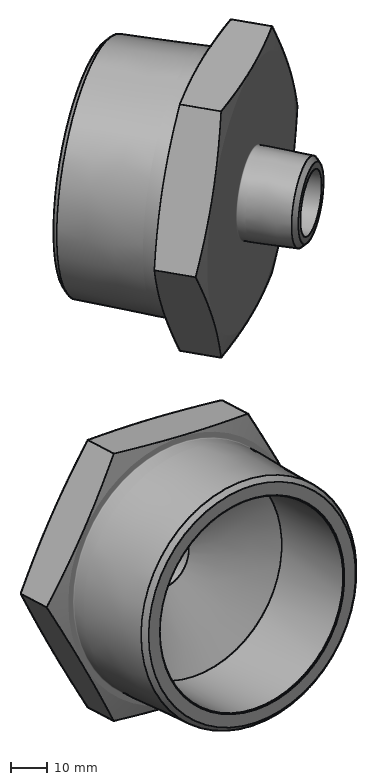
import cadquery as cq
import math


total_length = 63.0
hex_across_corners = 92.4

hex_start = 31.2
hex_end = 45.7
hex_corner_radius = hex_across_corners / 2
hex_face_radius = 39.7
hex_corner_chamfer = 1.3

large_radius = 75.75 / 2
large_thread_length = 26.6
small_radius = 26.8 / 2
small_thread_length = 14.6
taper = 1 / 32
tip_chamfer = 1.5
root_fillet = 0.3

bore_radius = 63.0 / 2
bore_depth = 28.3
mouth_chamfer = 0.3
through_radius = 19.0 / 2
cone_half_angle = 59
cone_length = (bore_radius - through_radius) / math.tan(math.radians(cone_half_angle))
cone_end = bore_depth + cone_length


def revolve_about_axis(outline):
    """Turn a closed outline in the XY plane into a solid of revolution about X."""
    return outline.close().revolve(360, (0, 0, 0), (1, 0, 0))


def threaded_end(length, thread_length, root_radius):
    """Tapered end with its tip at X = 0 and a filleted root at X = length."""
    tip_radius = root_radius - taper * (thread_length - tip_chamfer)
    outline = (
        cq.Workplane("XY")
        .lineTo(0, tip_radius - tip_chamfer)
        .lineTo(tip_chamfer, tip_radius)
        .lineTo(thread_length, root_radius)
        .lineTo(length - root_fillet, root_radius)
        .tangentArcPoint((root_fillet, root_fillet))
        .lineTo(length, 0)
    )
    return revolve_about_axis(outline)


def hexagon():
    """Hexagonal collar whose corners are turned down on both faces."""
    prism = (
        cq.Workplane("YZ", origin=(hex_start, 0, 0))
        .polygon(6, hex_across_corners)
        .extrude(hex_end - hex_start)
    )
    envelope_outline = cq.Workplane("XY").polyline([
        (hex_start, 0),
        (hex_start, hex_face_radius),
        (hex_start + hex_corner_chamfer, hex_corner_radius),
        (hex_end - hex_corner_chamfer, hex_corner_radius),
        (hex_end, hex_face_radius),
        (hex_end, 0),
    ])
    return prism.intersect(revolve_about_axis(envelope_outline))


def bore():
    """Wide bore from the large end, coned down to the through hole."""
    outline = cq.Workplane("XY").polyline([
        (0, 0),
        (0, bore_radius + mouth_chamfer),
        (mouth_chamfer, bore_radius),
        (bore_depth, bore_radius),
        (cone_end, through_radius),
        (total_length, through_radius),
        (total_length, 0),
    ])
    return revolve_about_axis(outline)


large_end = threaded_end(hex_start, large_thread_length, large_radius)
small_end = (
    threaded_end(total_length - hex_end, small_thread_length, small_radius)
    .mirror("YZ")
    .translate((total_length, 0, 0))
)

result = hexagon().union(large_end).union(small_end).cut(bore())